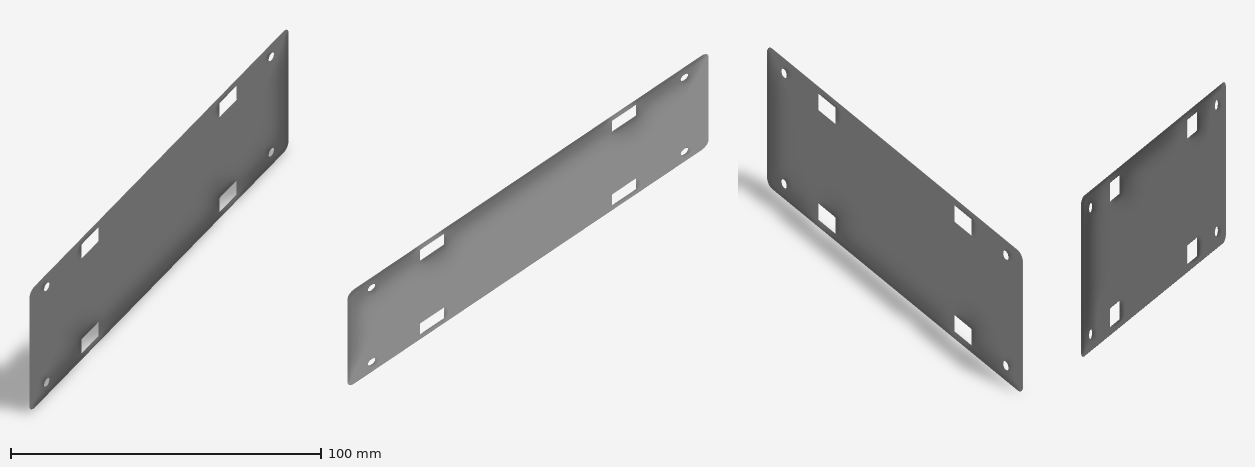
import cadquery as cq

length = 150.0
height = 53.7
thickness = 0.1
corner_radius = 3.0

hole_diameter = 3.2
hole_spacing_y = 130.0
hole_spacing_z = 42.3

window_length = 10.0
window_height = 6.3
window_spacing_y = 80.0
window_spacing_z = 42.0

plate = (
    cq.Workplane("YZ")
    .rect(length, height)
    .extrude(thickness / 2, both=True)
    .edges("|X")
    .fillet(corner_radius)
)

holes = (
    cq.Workplane("YZ")
    .rarray(hole_spacing_y, hole_spacing_z, 2, 2)
    .circle(hole_diameter / 2)
    .extrude(thickness, both=True)
)

windows = (
    cq.Workplane("YZ")
    .rarray(window_spacing_y, window_spacing_z, 2, 2)
    .rect(window_length, window_height)
    .extrude(thickness, both=True)
)

result = plate.cut(holes).cut(windows)